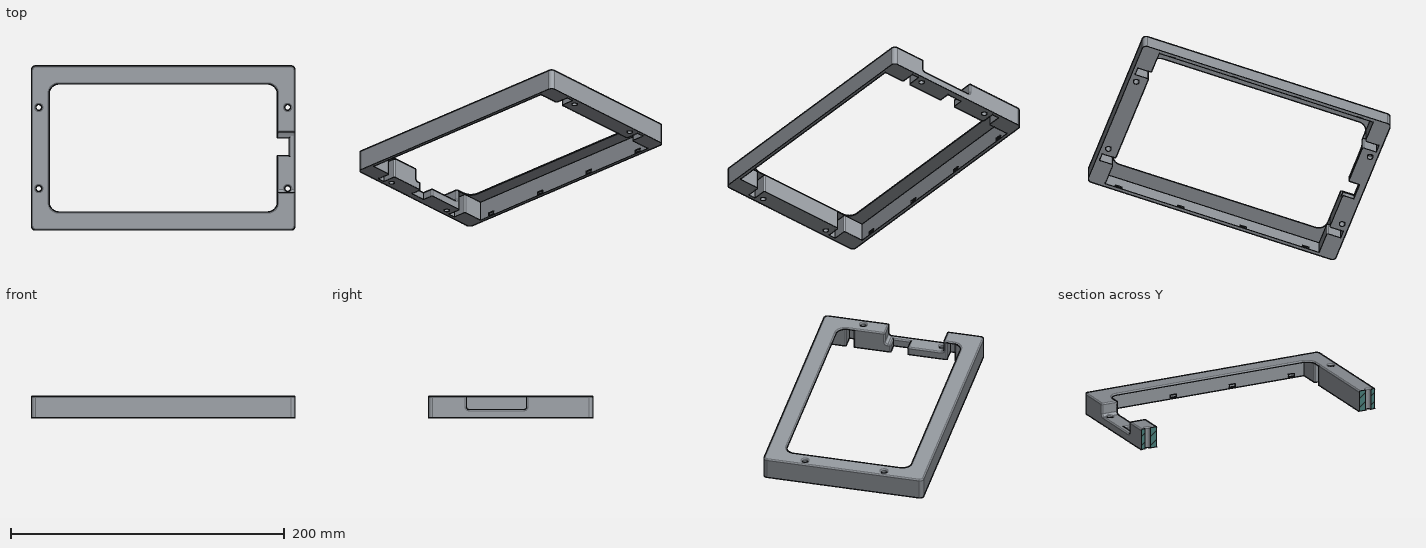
import cadquery as cq

LENGTH = 192.6
WIDTH = 120.2
HEIGHT = 16.0
CORNER_RADIUS = 3.0
EDGE_FILLET = 1.0

OPENING_LENGTH = 166.5
OPENING_WIDTH = 93.2
OPENING_RADIUS = 7.0

WALL = 2.5
ROOF = 1.2
CAVITY_WIDTH = WIDTH - 2 * WALL
END_BLOCK_WIDTH = 70.1
END_GAP = 5.8

STEP_Y_MIN = -32.4
STEP_Y_MAX = 11.5
STEP_FLOOR = 6.2
STEP_FILLET = 2.0

NOTCH_X_MAX = 91.7
NOTCH_Y_MIN = -5.4
NOTCH_Y_MAX = 7.1

HOLE_DIAMETER = 4.0
HOLE_SPACING_X = 181.8
HOLE_SPACING_Y = 59.3

POCKET_COUNT = 4
POCKET_PITCH = 48.5
POCKET_LENGTH = 5.0
POCKET_HEIGHT = 2.1
POCKET_DEPTH = 1.0
POCKET_BOTTOM = 1.0

MARGIN = 0.2


def box_between(x_min, x_max, y_min, y_max, z_min, z_max):
    """Axis-aligned box given by its limits."""
    box = cq.Workplane("XY").box(x_max - x_min, y_max - y_min, z_max - z_min, centered=False)
    return box.translate((x_min, y_min, z_min))


def rounded_block(length, width, radius):
    """Full-height block with rounded vertical corners."""
    block = cq.Workplane("XY").box(length, width, HEIGHT, centered=(True, True, False))
    return block.edges("|Z").fillet(radius)


def cut_step(frame):
    """Lower the +X end between the step walls and open the notch in its floor."""
    step = box_between(0, LENGTH, STEP_Y_MIN, STEP_Y_MAX, STEP_FLOOR, 2 * HEIGHT)
    step = step.edges("|X and <Z").fillet(STEP_FILLET)
    notch = box_between(0, NOTCH_X_MAX, NOTCH_Y_MIN, NOTCH_Y_MAX, 0, HEIGHT)
    return frame.cut(step).cut(notch)


def drill_screw_holes(frame):
    """Four through holes near the ends."""
    holes = (
        cq.Workplane("XY")
        .rect(HOLE_SPACING_X, HOLE_SPACING_Y, forConstruction=True)
        .vertices()
        .circle(HOLE_DIAMETER / 2)
        .extrude(HEIGHT)
    )
    return frame.cut(holes)


def round_upper_edges(frame):
    """Round every edge of the top and of the step, and the notch's corners at the opening."""
    step_zone = cq.selectors.BoxSelector(
        (0, STEP_Y_MIN - MARGIN, STEP_FLOOR - MARGIN),
        (LENGTH, STEP_Y_MAX + MARGIN, HEIGHT + MARGIN),
    )
    notch_rim_zone = cq.selectors.BoxSelector(
        (0, NOTCH_Y_MIN - MARGIN, STEP_FLOOR - MARGIN),
        (LENGTH, NOTCH_Y_MAX + MARGIN, STEP_FLOOR + MARGIN),
    )
    notch_mouth_zone = cq.selectors.BoxSelector(
        (0, NOTCH_Y_MIN - MARGIN, 0),
        (OPENING_LENGTH / 2 + MARGIN, NOTCH_Y_MAX + MARGIN, STEP_FLOOR),
    )
    edges = frame.faces(">Z").edges()
    edges = edges.add(frame.edges(step_zone).edges("not |X"))
    edges = edges.add(frame.edges("|X").edges(notch_rim_zone))
    edges = edges.add(frame.edges("|Z").edges(notch_mouth_zone))
    return edges.fillet(EDGE_FILLET)


def hollow_underside(frame):
    """Remove the material below the roof, leaving walls, end blocks and corner posts."""
    roof_bottom = HEIGHT - ROOF
    half_opening = OPENING_LENGTH / 2
    half_cavity = CAVITY_WIDTH / 2
    cavity = box_between(-half_opening, half_opening, -half_cavity, half_cavity, 0, roof_bottom)
    gap_x = LENGTH / 2 - WALL
    gap_y_min = END_BLOCK_WIDTH / 2
    gap_y_max = gap_y_min + END_GAP
    for y_min, y_max in ((gap_y_min, gap_y_max), (-gap_y_max, -gap_y_min)):
        cavity = cavity.union(box_between(-gap_x, gap_x, y_min, y_max, 0, roof_bottom))
    gap_mouth_zone = cq.selectors.BoxSelector(
        (-half_opening - MARGIN, -gap_y_max - MARGIN, 0),
        (half_opening + MARGIN, gap_y_max + MARGIN, HEIGHT),
    )
    return frame.cut(cavity.edges("|Z").edges(gap_mouth_zone).fillet(EDGE_FILLET))


def cut_snap_pockets(frame):
    """Row of shallow pockets in the inner face of both long walls."""
    half_length = POCKET_LENGTH / 2
    reach = CAVITY_WIDTH / 2 + POCKET_DEPTH
    pocket_top = POCKET_BOTTOM + POCKET_HEIGHT
    bar = box_between(-half_length, half_length, -reach, reach, POCKET_BOTTOM, pocket_top)
    for i in range(POCKET_COUNT):
        x = (i - (POCKET_COUNT - 1) / 2) * POCKET_PITCH
        frame = frame.cut(bar.translate((x, 0, 0)))
    return frame


body = rounded_block(LENGTH, WIDTH, CORNER_RADIUS)
body = body.cut(rounded_block(OPENING_LENGTH, OPENING_WIDTH, OPENING_RADIUS))
body = cut_step(body)
body = drill_screw_holes(body)
body = round_upper_edges(body)
body = hollow_underside(body)
result = cut_snap_pockets(body)